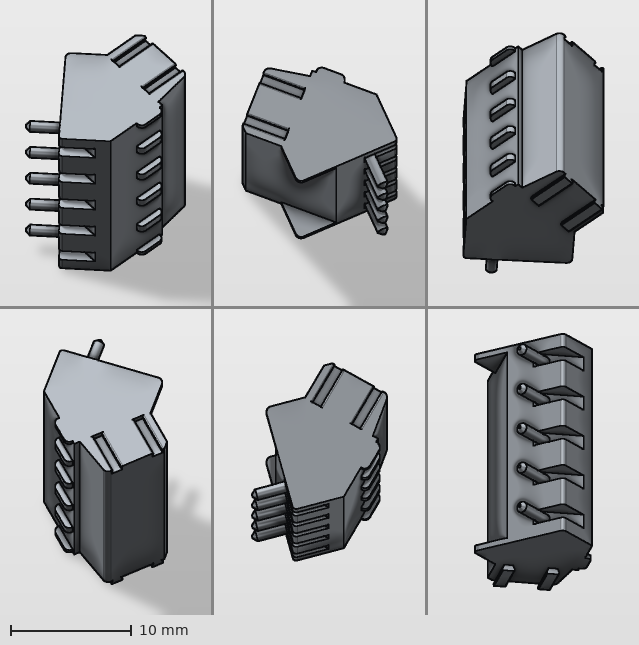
import cadquery as cq
import math


pole_count = 5
pitch = 3.5
height = pole_count * pitch

wall_x = 7.0
socket_top_x = 5.88
socket_foot_x = 6.5
shoulder_y = -3.7
left_shoulder_y = -3.63
left_tip_x = -2.447
wall_foot_y = -9.42
socket_chamfer = 0.5
socket_round = 0.5
left_tip_round = 0.5
bottom_tip_round = 0.3
ear_thickness = 0.5

left_tip_y = left_shoulder_y + left_tip_x
slope_sum = left_tip_x + left_tip_y
bottom_tip_x = (slope_sum - wall_foot_y + wall_x) / 2
bottom_tip_y = slope_sum - bottom_tip_x

pin_diameter = 0.93
pin_length = 2.88
pin_embed = 1.5
pin_chamfer = 0.35
pin_face_x = 2.19
slot_height = 1.18
slot_floor_y = -10.33

key_projection = 0.57
key_width = 0.75
key_top_y = -4.02
key_bottom_y = -6.54
key_round = 0.5

joint_centers = (1.12, 4.88)
joint_length = -shoulder_y
groove_depth = 0.52
groove_mouth_width = 1.07
groove_mouth_round = 0.15
groove_wide_width = 1.0
groove_wide_depth = 0.36
groove_floor_width = 0.9
rail_depth = 0.5
rail_neck_width = 0.75
rail_wide_width = 1.06
rail_tip_width = 0.96
rail_wide_depth = 0.36


def make_housing():
    outline = [
        (0, 0),
        (socket_top_x, 0),
        (socket_foot_x, shoulder_y),
        (wall_x, shoulder_y),
        (wall_x, wall_foot_y),
        (bottom_tip_x, bottom_tip_y),
        (left_tip_x, left_tip_y),
        (0, left_shoulder_y),
    ]
    housing = cq.Workplane("XY").polyline(outline).close().extrude(height)

    def corner(x, y):
        return housing.edges(cq.selectors.NearestToPointSelector((x, y, height / 2)))

    housing = corner(0, 0).chamfer(socket_chamfer)
    housing = corner(socket_top_x, 0).fillet(socket_round)
    housing = corner(bottom_tip_x, bottom_tip_y).fillet(bottom_tip_round)
    housing = corner(left_tip_x, left_tip_y).fillet(left_tip_round)
    return housing


def make_ear_gap():
    """Space left of the socket wall, between the two end ears."""
    gap_height = height - 2 * ear_thickness
    return cq.Workplane("XY").box(
        -left_tip_x, -slope_sum, gap_height, centered=False
    ).translate((left_tip_x, slope_sum, ear_thickness))


def make_slot(pole_z):
    """Slot through the bottom tip around one pin."""
    slot_length = slot_floor_y - bottom_tip_y
    return cq.Workplane("XY").box(
        wall_x, slot_length, slot_height, centered=(False, False, True)
    ).translate((0, bottom_tip_y, pole_z))


def make_pin(pole_z):
    """Round pin with a coned tip, square to the lower left face."""
    embed_step = pin_embed / math.sqrt(2)
    start = (pin_face_x + embed_step, slope_sum - pin_face_x + embed_step, pole_z)
    pin_plane = cq.Plane(origin=start, xDir=(0, 0, 1), normal=(-1, -1, 0))
    pin = cq.Workplane(pin_plane).circle(pin_diameter / 2).extrude(pin_embed + pin_length)
    return pin.faces(cq.selectors.DirectionMinMaxSelector(pin_plane.zDir)).chamfer(pin_chamfer)


def make_key(bottom_z, key_height):
    """Block on the right wall with rounded outer corners."""
    return (
        cq.Workplane("XY")
        .box(2 * key_projection, key_top_y - key_bottom_y, key_height, centered=(True, False, False))
        .edges("|Z and >X")
        .fillet(key_round)
        .translate((wall_x, key_bottom_y, bottom_z))
    )


def make_groove(center_x):
    """Undercut groove in the top face with a rounded mouth and hollow flanks."""
    mouth_x = groove_mouth_width / 2
    throat_x = mouth_x - groove_mouth_round
    wide_x = groove_wide_width / 2
    floor_x = groove_floor_width / 2
    arc_offset = groove_mouth_round * math.sqrt(0.5)
    arc_x = mouth_x - arc_offset
    arc_z = arc_offset - groove_mouth_round
    return (
        cq.Workplane("XZ", origin=(center_x, 0, height))
        .moveTo(-mouth_x, 0)
        .lineTo(mouth_x, 0)
        .threePointArc((arc_x, arc_z), (throat_x, -groove_mouth_round))
        .threePointArc((wide_x, -groove_wide_depth), (floor_x, -groove_depth))
        .lineTo(-floor_x, -groove_depth)
        .threePointArc((-wide_x, -groove_wide_depth), (-throat_x, -groove_mouth_round))
        .threePointArc((-arc_x, arc_z), (-mouth_x, 0))
        .close()
        .extrude(joint_length)
    )


def make_rail(center_x):
    """Dovetail rail under the bottom face."""
    right_side = [
        (rail_neck_width / 2, 0),
        (rail_wide_width / 2, -rail_wide_depth),
        (rail_tip_width / 2, -rail_depth),
    ]
    left_side = [(-x, z) for x, z in reversed(right_side)]
    return (
        cq.Workplane("XZ", origin=(center_x, 0, 0))
        .polyline(right_side + left_side)
        .close()
        .extrude(joint_length)
    )


result = make_housing().cut(make_ear_gap())

for pole in range(pole_count):
    pole_z = (pole + 0.5) * pitch
    result = result.cut(make_slot(pole_z)).union(make_pin(pole_z))

for boundary in range(pole_count + 1):
    key_bottom_z = max(boundary * pitch - key_width / 2, 0)
    key_top_z = min(boundary * pitch + key_width / 2, height)
    result = result.union(make_key(key_bottom_z, key_top_z - key_bottom_z))

for center_x in joint_centers:
    result = result.cut(make_groove(center_x)).union(make_rail(center_x))